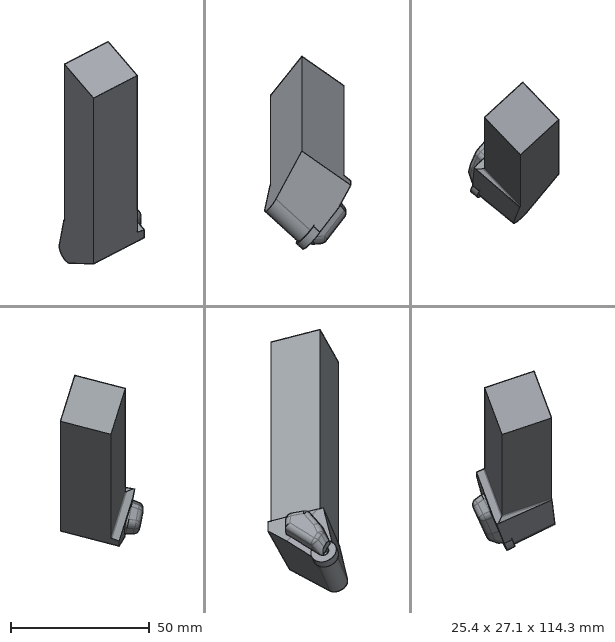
import cadquery as cq
import math

shank_width = 19.0
overall_height = 114.3

head_depth = 22.1
ledge_height = 24.7
head_overhang = 0.3
ledge_fillet_radius = 0.5
ledge_drop = 0.25
head_side_angle = 10.0
relief_corner_z = 19.4
tip_radius = 4.0

tilt_angle = 6.0
tilt = math.tan(math.radians(tilt_angle))
insert_diameter = 9.5
insert_thickness = 3.2
insert_hole_diameter = 3.8

clamp_height = 4.6
clamp_root_depth = 1.4
clamp_draft = 9.0
clamp_corner_radius = 2.5
clamp_top_radius = 2.3
nose_edge_height = 1.6
nose_slope = 42.0
nose_overhang = 0.7
nose_upper_end = -4.0
nose_lower_end = 2.2
nose_angle = 30.0

margin = 68.6

insert_axis = cq.Vector(-tilt, 1, -tilt)
seat_x = -1.7
seat_y = 19.9
seat_z = insert_diameter / 2 * math.sqrt(1 - insert_axis.normalized().z ** 2)
seat = cq.Plane(origin=(seat_x, seat_y, seat_z), xDir=(1, tilt, 0), normal=insert_axis.toTuple())


def box_between(low, high):
    size = [top - bottom for bottom, top in zip(low, high)]
    return cq.Workplane("XY").box(*size, centered=False).translate(low)


def make_head():
    """Wedge swept along the insert axis, with its sides trimmed to the shank."""
    side_slope = math.tan(math.radians(head_side_angle))
    relief_drop = shank_width - relief_corner_z
    side_start = -head_overhang - ledge_height * side_slope
    tip_z = (side_start - relief_drop) / (1 - side_slope)
    tip_x = tip_z + relief_drop
    top_z = margin
    wedge = cq.Wire.makePolygon(
        [
            cq.Vector(tip_x, 0, tip_z),
            cq.Vector(side_start + top_z * side_slope, 0, top_z),
            cq.Vector(top_z + relief_drop, 0, top_z),
        ],
        close=True,
    )
    sweep = insert_axis * (head_depth + tip_radius)
    prism = cq.Workplane(cq.Solid.extrudeLinear(wedge, [], sweep))
    tip_middle = cq.Vector(tip_x, 0, tip_z) + sweep * 0.5
    prism = prism.edges(cq.NearestToPointSelector(tip_middle.toTuple())).fillet(tip_radius)

    limits = box_between((-margin, 0, -margin), (shank_width, head_depth, ledge_height))
    above_seat = cq.Workplane(seat).box(2 * margin, 2 * margin, margin, centered=(True, True, False))
    return prism.intersect(limits).cut(above_seat).cut(make_ledge_cutters())


def make_ledge_cutters():
    """Wedges above the ledges that fall away from the -X and +Y sides of the shank."""
    reach = margin * ledge_drop
    side = (
        cq.Workplane("XZ")
        .polyline([(0, ledge_height), (-margin, ledge_height - reach), (-margin, ledge_height)])
        .close()
        .extrude(-margin)
    )
    back = (
        cq.Workplane("YZ", origin=(-margin, 0, 0))
        .polyline([
            (shank_width, ledge_height),
            (shank_width + margin, ledge_height - reach),
            (shank_width + margin, ledge_height),
        ])
        .close()
        .extrude(2 * margin)
    )
    return side.union(back)


def make_clamp():
    """Drafted block on the seat, with a sloping nose and a rounded top, in seat coordinates."""
    back_left = (4.3, -17.6)
    back_right = (13.3, -17.6)
    side_bend = (-0.2, -10.2)
    relief_corner = (13.7, -10.7)
    outline = [
        back_left,
        side_bend,
        nose_point(nose_overhang, nose_upper_end),
        nose_point(nose_overhang, nose_lower_end),
        relief_corner,
        back_right,
    ]
    footprint = cq.Sketch().polygon([*outline, back_left])
    root = cq.Workplane("XY").placeSketch(footprint).extrude(-clamp_root_depth)
    block = cq.Workplane("XY").placeSketch(footprint).extrude(clamp_height, taper=clamp_draft)
    block = block.cut(make_nose_cutter())

    block = round_corners(block, [back_left, back_right], clamp_height / 2)
    root = round_corners(root, [back_left, back_right], -clamp_root_depth / 2)

    half_rise = (clamp_height - nose_edge_height) / 2
    half_run = half_rise / math.tan(math.radians(nose_slope))
    slope_middle = (*nose_point(nose_overhang - half_run, 0), nose_edge_height + half_rise)
    slope_face = block.faces(cq.NearestToPointSelector(slope_middle))
    rims = block.faces(">Z").add(slope_face).edges()
    block = rims.edges("not <Z").fillet(clamp_top_radius)

    clamp = block.union(root)
    return cq.Workplane(clamp.val().located(cq.Location(seat)))


def round_corners(body, corners, level):
    """Round the upright edges of a body that pass closest to the corners at a level."""
    for corner in corners:
        edge = body.edges(cq.NearestToPointSelector((*corner, level)))
        body = edge.fillet(clamp_corner_radius)
    return body


def nose_point(outward, across):
    """Seat point at a distance out along the nose and across it, from the insert centre."""
    turn = math.radians(nose_angle)
    return (
        across * math.sin(turn) - outward * math.cos(turn),
        across * math.cos(turn) + outward * math.sin(turn),
    )


def make_nose_cutter():
    """Wedge above the nose, rising away from the end of the clamp."""
    rise = margin * math.tan(math.radians(nose_slope))
    along_clamp = cq.Plane(
        origin=(*nose_point(nose_overhang, 0), nose_edge_height),
        xDir=(*nose_point(-1, 0), 0),
        normal=(*nose_point(0, -1), 0),
    )
    return (
        cq.Workplane(along_clamp)
        .polyline([(0, 0), (margin, rise), (-margin, rise), (-margin, 0)])
        .close()
        .extrude(margin, both=True)
    )


def make_insert():
    return (
        cq.Workplane(seat)
        .circle(insert_diameter / 2)
        .circle(insert_hole_diameter / 2)
        .extrude(-insert_thickness)
    )


def make_holder():
    """Shank, head and clamp as one solid, with a round pocket for the insert."""
    shank = box_between((0, 0, ledge_height), (shank_width, shank_width, overall_height))
    pocket = cq.Workplane(seat).circle(insert_diameter / 2).extrude(-insert_thickness)
    holder = shank.union(make_head())
    inner_corners = (
        cq.NearestToPointSelector((0, shank_width / 2, ledge_height))
        + cq.NearestToPointSelector((shank_width / 2, shank_width, ledge_height))
    )
    holder = holder.edges(inner_corners).fillet(ledge_fillet_radius)
    return holder.union(make_clamp()).cut(pocket).solids()


holder = make_holder()
insert = make_insert()

result = cq.Compound.makeCompound([holder.val(), insert.val()])